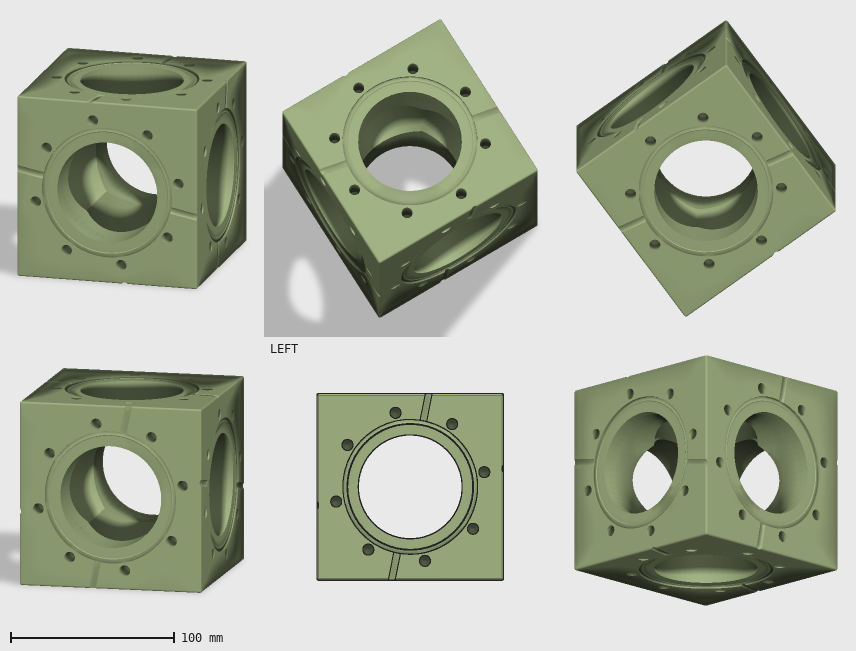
import cadquery as cq
import math

side = 114.4
half_side = side / 2
edge_radius = 1.1

bore_diameter = 63.5
recess_diameter = 82.6
knife_diameter = 77.6
seat_diameter = 76.6
recess_depth = 1.5
knife_depth = 0.7
seat_depth = 1.0

bolt_count = 8
bolt_circle_diameter = 92.4
bolt_hole_diameter = 6.7
bolt_hole_depth = 14.9
drill_point_angle = 118.0
bolt_pitch = 360 / bolt_count
bolt_start_angle = bolt_pitch / 4

groove_width = 4.1
groove_depth = 1.0
groove_radius = (groove_width**2 / 4 + groove_depth**2) / (2 * groove_depth)
groove_angle = 90 - bolt_start_angle
groove_start = (knife_diameter + recess_diameter) / 4
groove_end = half_side / math.cos(math.radians(bolt_start_angle)) + groove_width


def seal_cutter():
    """Recess with a floor that rises to a knife edge, then drops to the flat seat."""
    return (
        cq.Workplane("XZ")
        .polyline([
            (0, 0),
            (recess_diameter / 2, 0),
            (recess_diameter / 2, -recess_depth),
            (knife_diameter / 2, -knife_depth),
            (seat_diameter / 2, -seat_depth),
            (0, -seat_depth),
        ])
        .close()
        .revolve(360, (0, 0, 0), (0, 1, 0))
    )


def bore_cutter():
    """Bore from the face to the centre of the cube."""
    return cq.Workplane("XY").circle(bore_diameter / 2).extrude(-half_side)


def bolt_hole_cutter(angle):
    """Blind drilled hole with a conical bottom."""
    radius = bolt_hole_diameter / 2
    point_height = radius / math.tan(math.radians(drill_point_angle / 2))
    return (
        cq.Workplane("XZ")
        .polyline([
            (0, 0),
            (radius, 0),
            (radius, -bolt_hole_depth),
            (0, -bolt_hole_depth - point_height),
        ])
        .close()
        .revolve(360, (0, 0, 0), (0, 1, 0))
        .translate((bolt_circle_diameter / 2, 0, 0))
        .rotate((0, 0, 0), (0, 0, 1), angle)
    )


def groove_cutter(angle):
    """Round-bottomed groove running radially outward."""
    return (
        cq.Workplane("YZ", origin=(groove_start, 0, 0))
        .center(0, groove_radius - groove_depth)
        .circle(groove_radius)
        .extrude(groove_end - groove_start)
        .rotate((0, 0, 0), (0, 0, 1), angle)
    )


def face_cutters():
    """Everything that is cut into one face."""
    cutters = [seal_cutter(), bore_cutter()]
    for index in range(bolt_count):
        cutters.append(bolt_hole_cutter(bolt_start_angle + index * bolt_pitch))
    for angle in (groove_angle, groove_angle + 180):
        cutters.append(groove_cutter(angle))
    return [cutter.val() for cutter in cutters]


axes = [cq.Vector(1, 0, 0), cq.Vector(0, 1, 0), cq.Vector(0, 0, 1)]

body = cq.Workplane("XY").box(side, side, side).edges().fillet(edge_radius)
cutters = face_cutters()
for index, axis in enumerate(axes):
    next_axis = axes[(index + 1) % len(axes)]
    for normal in (axis, -axis):
        face_plane = cq.Plane(normal * half_side, next_axis, normal)
        for cutter in cutters:
            body = body.cut(cq.Workplane(cutter.moved(cq.Location(face_plane))))

result = body